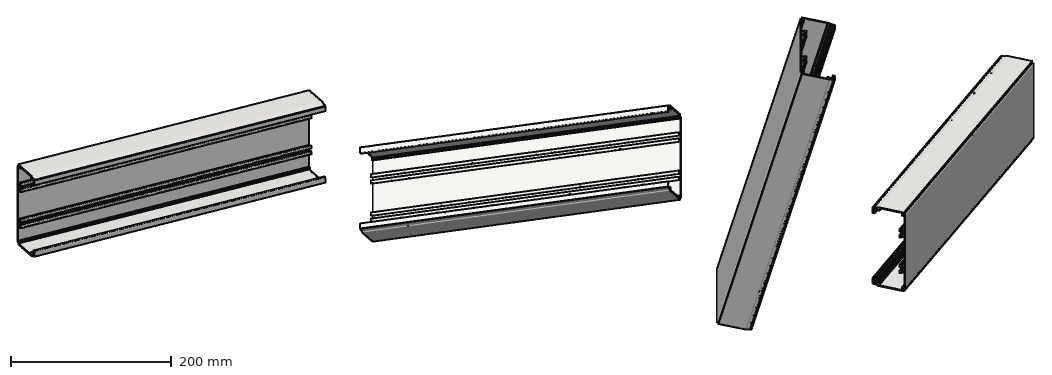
import cadquery as cq
import math

overall_depth = 44.87
length = 410.99
height = 113.12
half_height = height / 2

web_thickness = 1.8
flange_thickness = 1.6

corner_step_depth = 2.0
corner_step_drop = 2.9
corner_radius = 1.2
corner_wall_end = 2.9
bead_end = 4.9
bead_top_drop = 3.6
bead_bottom_drop = 5.3

flange_end = 36.5
step_drop = 1.3
step_run = 2.3

crown_start = 40.3
crown_radius = 8.0
crown_angle = math.radians(25)
nose_end_drop = 3.0
strip_bottom_drop = 2.9

rib_start = 35.4
rib_end = 37.9
rib_bottom_drop = 5.0
barb_start = 34.3
barb_drop = 4.0
barb_half_height = 0.6
channel_drop = 3.2
channel_start = 38.9
ridge_start = 39.9
ridge_end = 40.8
ridge_bottom_drop = 4.8

lip_thickness = 2.1
lip_bottom_drop = 10.2
lip_radius = 1.5
hook_start = 41.6
hook_height = 1.3

rail_centers = (21.3, 29.5)
stem_thickness = 1.4
head_start = 5.7
head_end = 8.15
head_width = 4.0
head_radius = 0.85


def section(x, drop):
    """Profile point given by its x and its distance below the top face."""
    return (x, half_height - drop)


def extrude_full_length(profile):
    return profile.close().extrude(length / 2, both=True)


def upper_half():
    """Upper half of the channel: web, corner, flange, step and hooked lip in one outline."""
    quarter_mid = 1 - math.sqrt(0.5)
    corner_mid = corner_radius * quarter_mid
    step_end = flange_end + step_run
    step_middle = section(flange_end + step_run / 2, step_drop / 2)
    crown_end = crown_start + crown_radius * math.sin(crown_angle)
    crown_end_drop = step_drop + crown_radius * (1 - math.cos(crown_angle))
    crown_mid = crown_start + crown_radius * math.sin(crown_angle / 2)
    crown_mid_drop = step_drop + crown_radius * (1 - math.cos(crown_angle / 2))
    lip_mid = lip_radius * quarter_mid
    lip_inner = overall_depth - lip_thickness
    hook_top_drop = lip_bottom_drop - hook_height

    profile = (
        cq.Workplane("XZ")
        .moveTo(0, 0)
        .lineTo(*section(0, corner_step_drop + corner_radius))
        .threePointArc(
            section(corner_mid, corner_step_drop + corner_mid),
            section(corner_radius, corner_step_drop),
        )
        .lineTo(*section(corner_step_depth, corner_step_drop))
        .lineTo(*section(corner_step_depth, 0))
        .lineTo(*section(flange_end, 0))
        .tangentArcPoint(step_middle, relative=False)
        .tangentArcPoint(section(step_end, step_drop), relative=False)
        .lineTo(*section(crown_start, step_drop))
        .threePointArc(
            section(crown_mid, crown_mid_drop),
            section(crown_end, crown_end_drop),
        )
        .tangentArcPoint(section(overall_depth, nose_end_drop), relative=False)
        .lineTo(*section(overall_depth, lip_bottom_drop - lip_radius))
        .threePointArc(
            section(overall_depth - lip_mid, lip_bottom_drop - lip_mid),
            section(overall_depth - lip_radius, lip_bottom_drop),
        )
        .lineTo(*section(hook_start, lip_bottom_drop))
        .lineTo(*section(hook_start, hook_top_drop))
        .lineTo(*section(lip_inner, hook_top_drop))
        .lineTo(*section(lip_inner, strip_bottom_drop))
        .lineTo(*section(ridge_end, strip_bottom_drop))
        .lineTo(*section(ridge_end, ridge_bottom_drop))
        .lineTo(*section(ridge_start, ridge_bottom_drop))
        .lineTo(*section(ridge_start, channel_drop))
        .lineTo(*section(channel_start, channel_drop))
        .lineTo(*section(rib_end, rib_bottom_drop))
        .lineTo(*section(rib_start, rib_bottom_drop))
        .lineTo(*section(rib_start, barb_drop + barb_half_height))
        .lineTo(*section(barb_start, barb_drop))
        .lineTo(*section(rib_start, barb_drop - barb_half_height))
        .lineTo(*section(rib_start, flange_thickness))
        .lineTo(*section(corner_wall_end, flange_thickness))
        .lineTo(*section(corner_wall_end, bead_top_drop))
        .lineTo(*section(bead_end, bead_top_drop))
        .lineTo(*section(bead_end, bead_bottom_drop))
        .lineTo(*section(web_thickness, bead_bottom_drop))
        .lineTo(web_thickness, 0)
    )
    return extrude_full_length(profile)


def bar(x_start, x_end, center_z, width):
    """Full-length rectangular bar centred on Y and on the given height."""
    size_x = x_end - x_start
    return cq.Workplane("XY").box(size_x, length, width).translate((x_start + size_x / 2, 0, center_z))


def rail(center_z):
    """T-shaped rail with a rounded head, rooted in the web."""
    stem = bar(web_thickness / 2, head_end, center_z, stem_thickness)
    head = bar(head_start, head_end, center_z, head_width)
    head = head.edges("|Y and >X").fillet(head_radius)
    return stem.union(head)


upper = upper_half()
for center in rail_centers:
    upper = upper.union(rail(center))

result = upper.union(upper.mirror("XY")).clean()